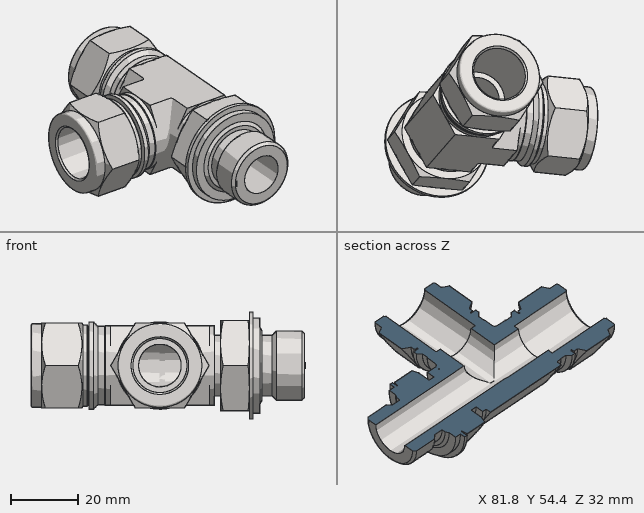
import cadquery as cq
import math


END_REACH = 38.43
BODY_FLATS = 23.8
BODY_HALF_LENGTH = 14.8
ARM_DIAMETER = BODY_FLATS
ARM_REACH = 16.25
CROTCH_RADIUS = 1.0

TUBE_BORE = 12.7
STUD_BORE = 12.3
BORE_TAPER_START = -0.1
BORE_TAPER_END = 1.65
SOCKET_DIAMETER = 16.1
SOCKET_DEPTH = 22.0
SOCKET_CHAMFER = 0.55

COLLAR_DIAMETER = 25.0
COLLAR_ROUNDING = 0.6
NUT_FLATS = 25.4
NUT_START = 3.05
NUT_END = 15.5
NUT_CHAMFER_ANGLE = 30.0
SKIRT_DIAMETER = 24.3
SKIRT_END = 17.0
SKIRT_CHAMFER = 0.3
THREAD_DIAMETER = 22.22
FLANGE_DIAMETER = 26.1
FLANGE_START = 17.25
FLANGE_END = 18.6
NECK_DIAMETER = 23.5
NECK_START = FLANGE_END + (FLANGE_DIAMETER - NECK_DIAMETER) / 2
NECK_GROOVE_LENGTH = 0.25

STUD_FACE = 43.15
STUD_NECK_DIAMETER = 18.2
STUD_THREAD_DIAMETER = 20.76
STUD_THREAD_START = 33.45
STUD_THREAD_CHAMFER = (STUD_THREAD_DIAMETER - STUD_NECK_DIAMETER) / 2
STUD_TIP_CHAMFER = 0.85
PIP_REACH = 43.4
PIP_Y = -9.2
PIP_WIDTH = 0.25
PIP_HEIGHT = 1.7
LOCK_NUT_FLATS = 27.0
LOCK_NUT_START = 18.1
LOCK_NUT_START_ANGLE = 20.0
LOCK_NUT_END_ANGLE = 10.0
WASHER_DIAMETER = 32.0
WASHER_START = 26.65
WASHER_END = 27.8
SEAL_RING_DIAMETER = 28.5
SEAL_RING_END = 29.8
O_RING_OUTER_DIAMETER = 23.0
O_RING_TIP_DIAMETER = 20.8
O_RING_END = 30.45

HEX_HALF_ANGLE = math.radians(30)


def cylinder(diameter, start, end):
    """Cylinder along X between two positions."""
    return cq.Workplane("YZ").workplane(offset=start).circle(diameter / 2).extrude(end - start)


def revolve_about_x(points):
    """Solid of revolution about X from (x, radius) points, closed on the axis."""
    outline = [(points[0][0], 0)] + points + [(points[-1][0], 0)]
    return cq.Workplane("XY").polyline(outline).close().revolve(360, (0, 0, 0), (1, 0, 0))


def hex_nut(flats, start, end, start_face, end_face, start_angle, end_angle):
    """Hexagon along X with flats facing +Z and -Z.

    A cone at each end runs from the end face diameter out to the hex corners.
    """
    corner_diameter = flats / math.cos(HEX_HALF_ANGLE)
    corner_radius = corner_diameter / 2
    start_drop = (corner_radius - start_face / 2) * math.tan(math.radians(start_angle))
    end_drop = (corner_radius - end_face / 2) * math.tan(math.radians(end_angle))
    prism = cq.Workplane("YZ").workplane(offset=start).polygon(6, corner_diameter).extrude(end - start)
    envelope = revolve_about_x([
        (start, start_face / 2),
        (start + start_drop, corner_radius),
        (end - end_drop, corner_radius),
        (end, end_face / 2),
    ])
    return prism.intersect(envelope)


def on_branch(shape):
    """Turn a shape lying along -X onto the branch axis, along -Y."""
    return shape.rotate((0, 0, 0), (0, 0, 1), 90)


HEX_HALF_HEIGHT = BODY_FLATS / 2
HEX_HALF_FLAT = HEX_HALF_HEIGHT * math.tan(HEX_HALF_ANGLE)
HEX_CORNER = 2 * HEX_HALF_FLAT
TANGENT_ACROSS = HEX_HALF_HEIGHT * math.cos(HEX_HALF_ANGLE)
TANGENT_UP = HEX_HALF_HEIGHT * math.sin(HEX_HALF_ANGLE)


def run_body():
    """Run prism: sharp hexagon at the back, rounded towards the branch."""
    return (
        cq.Workplane("YZ").workplane(offset=-BODY_HALF_LENGTH)
        .moveTo(HEX_CORNER, 0)
        .lineTo(HEX_HALF_FLAT, HEX_HALF_HEIGHT)
        .lineTo(-HEX_HALF_FLAT, HEX_HALF_HEIGHT)
        .lineTo(-TANGENT_ACROSS, TANGENT_UP)
        .threePointArc((-HEX_HALF_HEIGHT, 0), (-TANGENT_ACROSS, -TANGENT_UP))
        .lineTo(-HEX_HALF_FLAT, -HEX_HALF_HEIGHT)
        .lineTo(HEX_HALF_FLAT, -HEX_HALF_HEIGHT)
        .close()
        .extrude(2 * BODY_HALF_LENGTH)
    )


def branch_body():
    """Branch prism: hexagon with both side corners rounded to the inscribed circle."""
    return (
        cq.Workplane("XZ")
        .moveTo(HEX_HALF_FLAT, HEX_HALF_HEIGHT)
        .lineTo(-HEX_HALF_FLAT, HEX_HALF_HEIGHT)
        .lineTo(-TANGENT_ACROSS, TANGENT_UP)
        .threePointArc((-HEX_HALF_HEIGHT, 0), (-TANGENT_ACROSS, -TANGENT_UP))
        .lineTo(-HEX_HALF_FLAT, -HEX_HALF_HEIGHT)
        .lineTo(HEX_HALF_FLAT, -HEX_HALF_HEIGHT)
        .lineTo(TANGENT_ACROSS, -TANGENT_UP)
        .threePointArc((HEX_HALF_HEIGHT, 0), (TANGENT_ACROSS, TANGENT_UP))
        .close()
        .extrude(BODY_HALF_LENGTH)
    )


def is_crotch_edge(edge):
    """True for the mitre edges where run and branch meet, at y = -|x| away from the axis."""
    tolerance = 1e-3
    ends = (edge.startPoint(), edge.endPoint())
    return all(abs(abs(p.x) + p.y) < tolerance and abs(p.x) > tolerance for p in ends)


def tee_body():
    """Hex tee with a round arm at each end and filleted crotches."""
    left_arm = cylinder(ARM_DIAMETER, -ARM_REACH, -BODY_HALF_LENGTH)
    right_arm = cylinder(ARM_DIAMETER, BODY_HALF_LENGTH, ARM_REACH)
    run = run_body().union(left_arm).union(right_arm)
    branch = branch_body().union(on_branch(left_arm))
    tee = run.union(branch)
    crotch_edges = [edge for edge in tee.edges().vals() if is_crotch_edge(edge)]
    return tee.newObject(crotch_edges).fillet(CROTCH_RADIUS)


def compression_end():
    """Outside of one compression end, built along -X."""
    face = -END_REACH
    collar = cylinder(COLLAR_DIAMETER, face, face + NUT_START).faces("<X").edges().fillet(COLLAR_ROUNDING)
    nut = hex_nut(
        NUT_FLATS,
        face + NUT_START,
        face + NUT_END,
        COLLAR_DIAMETER,
        SKIRT_DIAMETER,
        NUT_CHAMFER_ANGLE,
        NUT_CHAMFER_ANGLE,
    )
    skirt = cylinder(SKIRT_DIAMETER, face + NUT_END, face + SKIRT_END).faces(">X").chamfer(SKIRT_CHAMFER)
    thread = cylinder(THREAD_DIAMETER, face + SKIRT_END, face + FLANGE_START)
    flange_and_neck = revolve_about_x([
        (face + FLANGE_START, FLANGE_DIAMETER / 2),
        (face + FLANGE_END, FLANGE_DIAMETER / 2),
        (face + NECK_START, NECK_DIAMETER / 2),
        (-ARM_REACH - NECK_GROOVE_LENGTH, NECK_DIAMETER / 2),
        (-ARM_REACH, ARM_DIAMETER / 2),
    ])
    return collar.union(nut).union(skirt).union(thread).union(flange_and_neck)


def male_stud():
    """Threaded stud with lock nut, washer, seal ring, O-ring and face pip."""
    shaft = revolve_about_x([
        (ARM_REACH, STUD_NECK_DIAMETER / 2),
        (STUD_THREAD_START, STUD_NECK_DIAMETER / 2),
        (STUD_THREAD_START + STUD_THREAD_CHAMFER, STUD_THREAD_DIAMETER / 2),
        (STUD_FACE - STUD_TIP_CHAMFER, STUD_THREAD_DIAMETER / 2),
        (STUD_FACE, STUD_THREAD_DIAMETER / 2 - STUD_TIP_CHAMFER),
    ])
    nut = hex_nut(
        LOCK_NUT_FLATS,
        LOCK_NUT_START,
        WASHER_START,
        LOCK_NUT_FLATS,
        LOCK_NUT_FLATS,
        LOCK_NUT_START_ANGLE,
        LOCK_NUT_END_ANGLE,
    )
    washer = cylinder(WASHER_DIAMETER, WASHER_START, WASHER_END)
    seal_ring = cylinder(SEAL_RING_DIAMETER, WASHER_END, SEAL_RING_END)
    o_ring = revolve_about_x([
        (SEAL_RING_END, O_RING_OUTER_DIAMETER / 2),
        (O_RING_END, O_RING_TIP_DIAMETER / 2),
    ])
    pip = (
        cq.Workplane("YZ").workplane(offset=STUD_FACE).center(PIP_Y, 0)
        .rect(PIP_WIDTH, PIP_HEIGHT)
        .extrude(PIP_REACH - STUD_FACE)
    )
    return shaft.union(nut).union(washer).union(seal_ring).union(o_ring).union(pip)


def end_bore():
    """Chamfered tube socket and bore of one compression end, along -X."""
    face = -END_REACH
    socket_radius = SOCKET_DIAMETER / 2
    return revolve_about_x([
        (face, socket_radius + SOCKET_CHAMFER),
        (face + SOCKET_CHAMFER, socket_radius),
        (face + SOCKET_DEPTH, socket_radius),
        (face + SOCKET_DEPTH, TUBE_BORE / 2),
        (BORE_TAPER_START, TUBE_BORE / 2),
    ])


def stud_bore():
    """Bore of the stud with a short taper up to the tube bore."""
    return revolve_about_x([
        (BORE_TAPER_START, TUBE_BORE / 2),
        (BORE_TAPER_END, STUD_BORE / 2),
        (STUD_FACE, STUD_BORE / 2),
    ])


outside = tee_body().union(male_stud())
outside = outside.union(compression_end()).union(on_branch(compression_end()))
result = outside.cut(end_bore()).cut(stud_bore()).cut(on_branch(end_bore()))